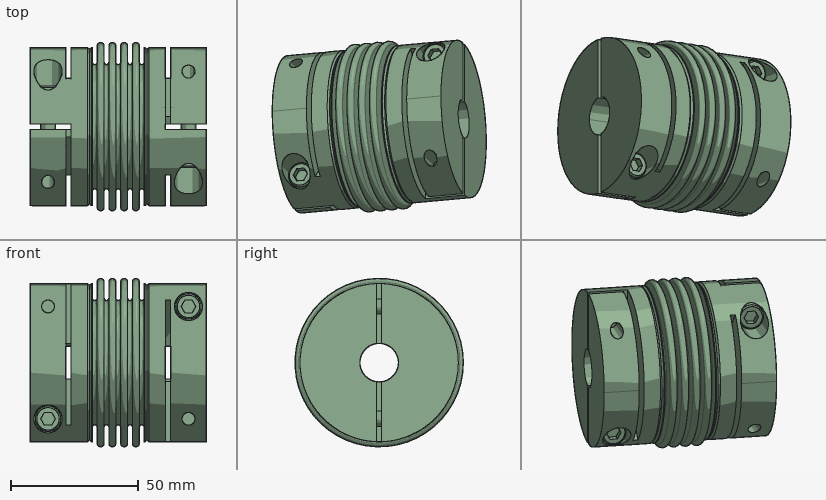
import cadquery as cq
import math


origin = (0, 0, 0)
x_axis = (1, 0, 0)
z_axis = (0, 0, 1)

overall_length = 69.0
hub_radius = 31.0
hub_length = 22.5
bore_radius = 7.5
hub_outer_end = -overall_length / 2
hub_inner_end = overall_length / 2 - hub_length

crest_radius = 33.0
root_radius = 24.4
crest_width = 2.8
root_width = 1.8
crest_count = 4
bellows_pitch = crest_width + root_width
bellows_half_length = (crest_count * bellows_pitch + root_width) / 2

rim_width = 0.4
groove_width = hub_inner_end - bellows_half_length - rim_width

slit_width = 2.0
jaw_length = 14.0
saw_slot_width = 2.0
saw_radius = 50.0
saw_center_z = 15.5
saw_slot_start = hub_outer_end + jaw_length

screw_x = 27.5
screw_z = 22.0
shank_radius = 3.0
tapped_hole_radius = 2.5
counterbore_radius = 5.5
head_radius = 5.0
head_height = 6.0
head_chamfer = 0.6
head_top_y = 16.0
head_seat_y = head_top_y - head_height
socket_sides = 6
socket_across_flats = 5.0
socket_across_corners = socket_across_flats / math.cos(math.pi / socket_sides)
socket_depth = 3.0
screw_length = 20.0
screw_tip_y = head_seat_y - screw_length


def add_root(outline, x):
    """Carry the outline from x across one full-round bellows root."""
    root_round = root_width / 2
    side_radius = root_radius + root_round
    return outline.lineTo(x, side_radius).threePointArc(
        (x + root_round, root_radius), (x + root_width, side_radius)
    )


def add_crest(outline, x):
    """Carry the outline from x across one full-round bellows crest."""
    crest_round = crest_width / 2
    side_radius = crest_radius - crest_round
    return outline.lineTo(x, side_radius).threePointArc(
        (x + crest_round, crest_radius), (x + crest_width, side_radius)
    )


def coupling_body():
    """Solid of revolution: hubs, grooves, rims and bellows, with the bore through it."""
    groove_outer = hub_inner_end
    groove_inner = hub_inner_end - groove_width
    groove_middle = hub_inner_end - groove_width / 2
    groove_bottom_radius = hub_radius - groove_width / 2

    outline = (
        cq.Workplane("XY")
        .moveTo(hub_outer_end, bore_radius)
        .lineTo(hub_outer_end, hub_radius)
        .lineTo(-groove_outer, hub_radius)
        .lineTo(-groove_middle, groove_bottom_radius)
        .lineTo(-groove_inner, hub_radius)
        .lineTo(-bellows_half_length, hub_radius)
    )
    for index in range(crest_count):
        root_start = -bellows_half_length + index * bellows_pitch
        outline = add_root(outline, root_start)
        outline = add_crest(outline, root_start + root_width)
    outline = add_root(outline, bellows_half_length - root_width)
    outline = (
        outline.lineTo(bellows_half_length, hub_radius)
        .lineTo(groove_inner, hub_radius)
        .lineTo(groove_middle, groove_bottom_radius)
        .lineTo(groove_outer, hub_radius)
        .lineTo(-hub_outer_end, hub_radius)
        .lineTo(-hub_outer_end, bore_radius)
        .close()
    )
    return outline.revolve(360, origin, x_axis)


def slit():
    """Flat slit across the hub diameter, parting the two jaws."""
    slit_length = jaw_length + saw_slot_width
    blank = cq.Workplane("XY").box(slit_length, slit_width, 2 * crest_radius, centered=(False, True, True))
    return blank.translate((hub_outer_end, 0, 0))


def saw_slot():
    """Cross slot behind the -Y jaw: open at +Z, its lower end the arc of a round saw.

    The arc runs tangent into the far wall of the slit.
    """
    far_wall_y = slit_width / 2
    saw_center_y = far_wall_y - saw_radius
    clear = crest_radius
    arc_end_angle = math.acos((-clear - saw_center_y) / saw_radius)
    arc_mid_angle = arc_end_angle / 2

    def on_saw(angle):
        return (
            saw_center_y + saw_radius * math.cos(angle),
            saw_center_z - saw_radius * math.sin(angle),
        )

    return (
        cq.Workplane("YZ", origin=(saw_slot_start, 0, 0))
        .moveTo(far_wall_y, clear)
        .lineTo(far_wall_y, saw_center_z)
        .threePointArc(on_saw(arc_mid_angle), on_saw(arc_end_angle))
        .lineTo(-clear, clear)
        .close()
        .extrude(saw_slot_width)
    )


def along_y(radius, start_y, end_y):
    """Cylinder on the axis of the +Y, +Z screw of the left hub."""
    return (
        cq.Workplane("XZ", origin=(-screw_x, end_y, screw_z))
        .circle(radius)
        .extrude(end_y - start_y)
    )


def screw_hole():
    """Counterbore at the head end and tapped hole at the tip end."""
    counterbore = along_y(counterbore_radius, head_seat_y, hub_radius)
    tapped_hole = along_y(tapped_hole_radius, -hub_radius, screw_tip_y)
    return counterbore.union(tapped_hole)


def screw():
    """Socket head screw; its shank shows where it bridges the slit."""
    head = along_y(head_radius, head_seat_y, head_top_y).faces(">Y").chamfer(head_chamfer)
    socket = (
        cq.Workplane("XZ", origin=(-screw_x, head_top_y, screw_z))
        .polygon(socket_sides, socket_across_corners)
        .extrude(socket_depth)
    )
    return along_y(shank_radius, screw_tip_y, head_seat_y).union(head).cut(socket)


def half_turn(shape, axis):
    """Copy of a shape turned 180 degrees about an axis through the origin."""
    return shape.rotate(origin, axis, 180)


def on_both_jaws(feature):
    """A left-hub feature and its half-turn copy about X."""
    return [feature, half_turn(feature, x_axis)]


hub_cuts = [slit()] + on_both_jaws(saw_slot()) + on_both_jaws(screw_hole())
hub_screws = on_both_jaws(screw())

result = coupling_body()
for hub_cut in hub_cuts:
    result = result.cut(hub_cut).cut(half_turn(hub_cut, z_axis))
for hub_screw in hub_screws:
    result = result.union(hub_screw).union(half_turn(hub_screw, z_axis))